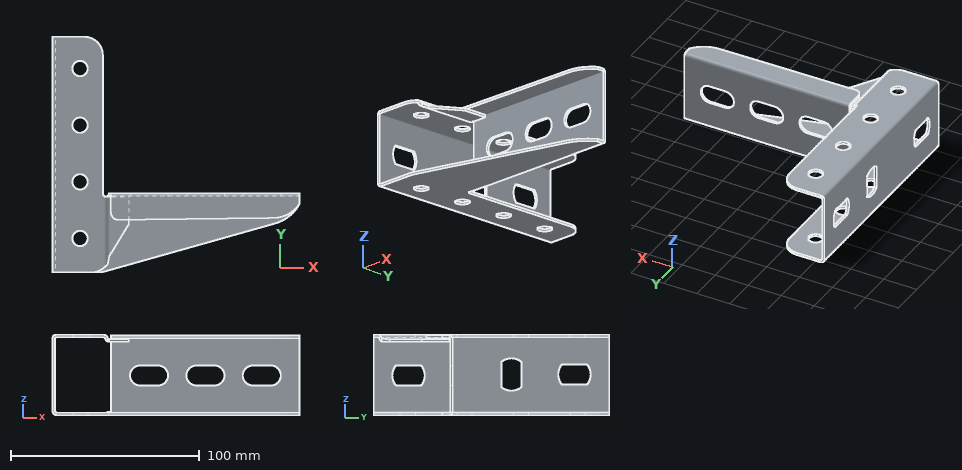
import cadquery as cq
import math

length_x = 131.1
length_y = 125.0
height = 42.7
sheet = 1.5

tight_bend = 2.0
wide_bend = 2.5
corner_radius = 10.0

flange_width = 26.9
tab_end_x = 40.5
tab_top_z = 40.4
step_upper_x = 28.5
step_lower_x = 29.8
tab_diagonal_start = (30.2, 8.5)
tab_diagonal_end_y = 25.5
tab_step_corner = (29.4, 4.2)
tab_corner_start_x = 20.7

arm_height = 42.4
arm_outer_y = 42.0
arm_wall_x = 31.1
arm_bend_x = 29.9
relief_radius = (arm_bend_x - flange_width) / 2
relief_x = flange_width + relief_radius
relief_y = 41.7
tip_y = 36.3
bottom_edge_start_x = 26.4
bottom_edge_end = (118.0, 25.8)
top_edge_start_y = 27.8
top_edge_end = (117.2, 28.8)
top_flange_corner = 3.9

hole_diameter = 8.0
hole_x = 14.7
hole_first_y = 18.0
hole_pitch = 30.0
hole_count = 4
slot_width = 10.5
web_slot_length = 17.0
web_slots = [(106.5, 21.6, 0), (73.0, 21.6, 90), (18.5, 21.1, 0)]
arm_slot_length = 20.0
arm_slot_first_x = 51.3
arm_slot_pitch = 29.9
arm_slot_count = 3
arm_slot_z = 21.1


def prism(outline):
    """Close an XY outline and raise it through the whole height of the part."""
    return outline.close().extrude(height)


def round_edges(body, direction, places, radius):
    """Fillet the edges of one direction that lie nearest to the given points."""
    for place in places:
        edge = body.edges(direction).edges(cq.selectors.NearestToPointSelector(place))
        body = edge.fillet(radius)
    return body


def back_section():
    """Back web with its top flange, stepped tab and bottom flange, along the full Y length."""
    tab_bottom_z = tab_top_z - sheet
    slope = math.atan2(height - tab_top_z, step_lower_x - step_upper_x)
    shift = sheet * math.tan(slope / 2)
    section = (
        cq.Workplane("XZ")
        .polyline([
            (0, 0),
            (relief_x, 0),
            (relief_x, sheet),
            (sheet, sheet),
            (sheet, height - sheet),
            (step_upper_x - shift, height - sheet),
            (step_lower_x - shift, tab_bottom_z),
            (tab_end_x, tab_bottom_z),
            (tab_end_x, tab_top_z),
            (step_lower_x, tab_top_z),
            (step_upper_x, height),
            (0, height),
        ])
        .close()
        .extrude(-length_y)
    )
    middle_y = length_y / 2
    outer = [
        (0, middle_y, height),
        (step_upper_x, middle_y, height),
        (step_lower_x - shift, middle_y, tab_bottom_z),
    ]
    inner = [
        (sheet, middle_y, height - sheet),
        (step_upper_x - shift, middle_y, height - sheet),
        (step_lower_x, middle_y, tab_top_z),
    ]
    section = round_edges(section, "|Y", outer, tight_bend)
    section = round_edges(section, "|Y", inner, tight_bend - sheet)
    section = round_edges(section, "|Y", [(0, middle_y, 0)], wide_bend)
    return round_edges(section, "|Y", [(sheet, middle_y, sheet)], wide_bend - sheet)


def arm_section():
    """Upright wall of the arm with its top and bottom flanges, from the relief to the tip."""
    arm_length = length_x - relief_x
    outside = cq.Workplane("YZ", origin=(relief_x, 0, 0)).rect(arm_outer_y, arm_height, centered=False)
    outside = outside.extrude(arm_length).edges("|X and >Y").fillet(tight_bend)
    inside = cq.Workplane("YZ", origin=(relief_x, 0, sheet)).rect(
        arm_outer_y - sheet, arm_height - 2 * sheet, centered=False
    )
    inside = inside.extrude(arm_length).edges("|X and >Y").fillet(tight_bend - sheet)
    return outside.cut(inside)


def finish_channel_end(outline):
    """From the bottom of the relief, run back past the far rounded corner to the web."""
    return (
        outline.radiusArc((flange_width, relief_y), relief_radius)
        .lineTo(flange_width, length_y - corner_radius)
        .tangentArcPoint((flange_width - corner_radius, length_y), relative=False)
        .lineTo(0, length_y)
    )


def top_outline():
    """Plan of the top flange of the channel with its triangular tab."""
    reach = flange_width - tab_corner_start_x
    arc_end_y = corner_radius - math.sqrt(corner_radius**2 - reach**2)
    outline = (
        cq.Workplane("XY")
        .lineTo(tab_corner_start_x, 0)
        .tangentArcPoint((flange_width, arc_end_y), relative=False)
        .lineTo(*tab_step_corner)
        .lineTo(*tab_diagonal_start)
        .lineTo(tab_end_x, tab_diagonal_end_y)
        .lineTo(tab_end_x, relief_y - relief_radius)
        .lineTo(relief_x, relief_y - relief_radius)
    )
    return prism(finish_channel_end(outline))


def bottom_outline():
    """Plan of the bottom flange, shared by the channel and the arm."""
    slant = math.atan2(bottom_edge_end[1], bottom_edge_end[0] - bottom_edge_start_x)
    tangent = corner_radius * math.tan(slant / 2)
    slant_start = (
        bottom_edge_start_x + tangent * math.cos(slant),
        tangent * math.sin(slant),
    )
    outline = (
        cq.Workplane("XY")
        .lineTo(bottom_edge_start_x - tangent, 0)
        .tangentArcPoint(slant_start, relative=False)
        .lineTo(*bottom_edge_end)
        .tangentArcPoint((length_x, tip_y), relative=False)
        .lineTo(length_x, arm_outer_y)
        .lineTo(arm_bend_x, arm_outer_y)
        .lineTo(arm_bend_x, relief_y)
        .radiusArc((relief_x, relief_y - relief_radius), relief_radius)
    )
    return prism(finish_channel_end(outline))


def arm_top_outline():
    """Plan of the top flange and the upright wall of the arm."""
    outline = (
        cq.Workplane("XY")
        .moveTo(arm_wall_x, top_edge_start_y)
        .lineTo(*top_edge_end)
        .tangentArcPoint((length_x, tip_y), relative=False)
        .lineTo(length_x, arm_outer_y)
        .lineTo(arm_wall_x, arm_outer_y)
    )
    return round_edges(prism(outline), "|Z", [(arm_wall_x, top_edge_start_y, 0)], top_flange_corner)


def trim(section, lower_outline, upper_outline, split_z):
    """Trim a section to one plan below the split height and to another above it."""
    lower = lower_outline.intersect(layer(0, split_z))
    upper = upper_outline.intersect(layer(split_z, height))
    return section.intersect(lower.union(upper))


def layer(bottom_z, top_z):
    """Block covering the whole plan between two heights."""
    return cq.Workplane("XY", origin=(0, 0, bottom_z)).box(
        length_x, length_y, top_z - bottom_z, centered=False
    )


def flange_holes():
    """Row of round holes through both flanges of the channel."""
    centres = [(hole_x, hole_first_y + i * hole_pitch) for i in range(hole_count)]
    return cq.Workplane("XY").pushPoints(centres).circle(hole_diameter / 2).extrude(height)


def web_slot(y, z, turn):
    """Circle cut off by two flats, through the back web."""
    plane = cq.Workplane("YZ", origin=(0, y, z))
    disc = plane.circle(web_slot_length / 2).extrude(wide_bend)
    band = plane.rect(web_slot_length, slot_width).extrude(wide_bend)
    return disc.intersect(band).rotate((0, y, z), (1, y, z), turn)


def arm_slots():
    """Row of slots with fully rounded ends through the upright wall of the arm."""
    centres = [(arm_slot_first_x + i * arm_slot_pitch, arm_slot_z) for i in range(arm_slot_count)]
    plane = cq.Workplane("XZ", origin=(0, arm_outer_y, 0)).pushPoints(centres)
    return plane.slot2D(arm_slot_length, slot_width).extrude(tight_bend)


channel = trim(back_section(), bottom_outline(), top_outline(), height / 2)
arm = trim(arm_section(), bottom_outline(), arm_top_outline(), tight_bend)
result = channel.union(arm).cut(flange_holes()).cut(arm_slots())
for y, z, turn in web_slots:
    result = result.cut(web_slot(y, z, turn))